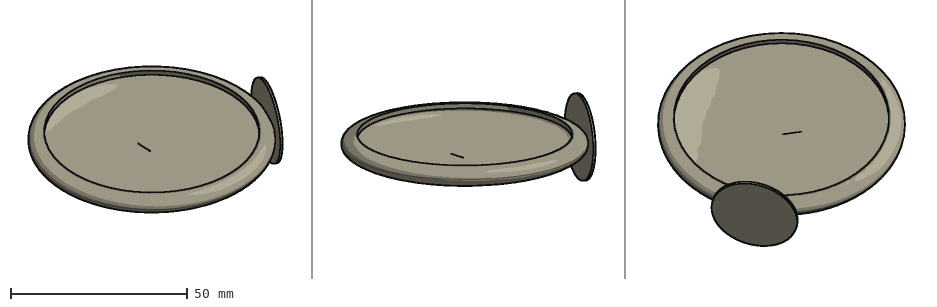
import cadquery as cq

outer_radius = 35.1
top_z = 4.2
bottom_z = -4.3
widest_z = 1.5
wall_thickness = 1.5

under_base_pull = 0.72
under_side_pull = 0.6
quarter_pull = 0.55

opening_diameter = 61.1
rim_land = 0.3
land_radius = opening_diameter / 2 + rim_land

plate_diameter = 25.0
plate_thickness = 0.8
plate_x = -0.2


def make_lens(inset):
    """Solid of the dish outline, with its surface moved inwards by the inset."""
    low_z = bottom_z + inset
    high_z = top_z - inset
    radius = outer_radius - inset
    under_pull_z = widest_z - under_side_pull * (widest_z - low_z)
    rim_pull_z = widest_z + quarter_pull * (high_z - widest_z)
    rim_pull_radius = land_radius + quarter_pull * (radius - land_radius)

    profile = cq.Workplane("XZ").moveTo(0, low_z)
    profile = profile.bezier(
        [(under_base_pull * radius, low_z), (radius, under_pull_z), (radius, widest_z)],
        includeCurrent=True,
    )
    profile = profile.bezier(
        [(radius, rim_pull_z), (rim_pull_radius, high_z), (land_radius, high_z)],
        includeCurrent=True,
    )
    profile = profile.lineTo(0, high_z).close()
    return profile.revolve(360, (0, 0, 0), (0, 1, 0))


def make_opening():
    """Cylinder from the widest level up through the top wall."""
    opening = cq.Workplane("XY").workplane(offset=widest_z)
    return opening.circle(opening_diameter / 2).extrude(top_z - widest_z)


def make_plate():
    plate = cq.Workplane("XZ", origin=(plate_x, outer_radius, 0))
    return plate.circle(plate_diameter / 2).extrude(plate_thickness)


body = make_lens(0).union(make_plate())
result = body.cut(make_lens(wall_thickness)).cut(make_opening())